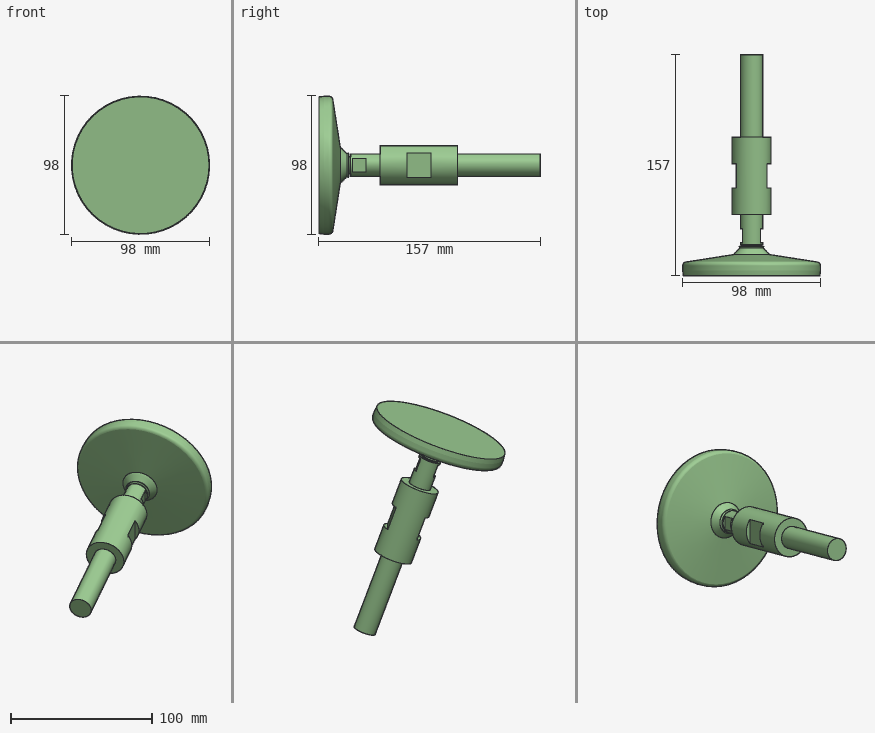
import cadquery as cq

OVERALL_LENGTH = 157.0

FOOT_RADIUS = 98.0 / 2
SOLE_RADIUS = 48.5
RIM_TAPER_TOP = 3.8
RIM_TOP = 7.0
SHOULDER_RADIUS = 47.0
SHOULDER_Y = 9.9
RIM_BULGE = 0.4
HUB_RADIUS = 12.7
HUB_Y = 15.2
COLLAR_BASE_RADIUS = 11.6
COLLAR_BASE_Y = 16.5
COLLAR_TOP_RADIUS = 8.2
COLLAR_TOP_Y = 20.0
LIP_RADIUS = 8.8
LIP_Y = 20.9
FOOT_TOP = 21.5
FOOT_TOP_RADIUS = 7.4

SPINDLE_DIAMETER = 16.0
NECK_RADIUS = 6.1
NECK_TOP = 22.5
SPINDLE_FLAT_START = 23.9
SPINDLE_FLAT_LENGTH = 9.4
SPINDLE_ACROSS_FLATS = 13.0

SLEEVE_DIAMETER = 28.0
SLEEVE_START = 43.5
SLEEVE_LENGTH = 55.0
SLEEVE_FLAT_LENGTH = 17.1
SLEEVE_ACROSS_FLATS = 22.0


def cylinder(diameter, start, length):
    """Solid cylinder along +Y, beginning at y = start."""
    return (
        cq.Workplane("XZ", origin=(0, start, 0))
        .circle(diameter / 2)
        .extrude(-length)
    )


def cut_wrench_flats(body, diameter, across_flats, start, length):
    """Cut two opposite flats, facing -X and +X, into a round body."""
    depth = (diameter - across_flats) / 2
    for side in (-1, 1):
        center_x = side * (across_flats + depth) / 2
        cutter = cq.Workplane("XY").box(depth, length, diameter)
        body = body.cut(cutter.translate((center_x, start + length / 2, 0)))
    return body


def make_foot():
    """Round plate with a rounded rim, conical top and lipped collar."""
    rim_middle = (
        (FOOT_RADIUS + SHOULDER_RADIUS) / 2 + RIM_BULGE,
        (RIM_TOP + SHOULDER_Y) / 2 + RIM_BULGE,
    )
    return (
        cq.Workplane("XY")
        .lineTo(SOLE_RADIUS, 0)
        .lineTo(FOOT_RADIUS, RIM_TAPER_TOP)
        .lineTo(FOOT_RADIUS, RIM_TOP)
        .threePointArc(rim_middle, (SHOULDER_RADIUS, SHOULDER_Y))
        .lineTo(HUB_RADIUS, HUB_Y)
        .lineTo(COLLAR_BASE_RADIUS, COLLAR_BASE_Y)
        .lineTo(COLLAR_TOP_RADIUS, COLLAR_TOP_Y)
        .lineTo(LIP_RADIUS, LIP_Y)
        .lineTo(FOOT_TOP_RADIUS, FOOT_TOP)
        .lineTo(0, FOOT_TOP)
        .close()
        .revolve(360, (0, 0, 0), (0, 1, 0))
    )


def make_spindle():
    """Long rod with a narrow neck standing on the foot and two wrench flats."""
    neck = cylinder(2 * NECK_RADIUS, FOOT_TOP, NECK_TOP - FOOT_TOP)
    rod = cylinder(SPINDLE_DIAMETER, NECK_TOP, OVERALL_LENGTH - NECK_TOP)
    return cut_wrench_flats(
        rod.union(neck), SPINDLE_DIAMETER, SPINDLE_ACROSS_FLATS, SPINDLE_FLAT_START, SPINDLE_FLAT_LENGTH
    )


def make_sleeve():
    """Sleeve around the spindle, with two wrench flats at mid-length."""
    sleeve = cylinder(SLEEVE_DIAMETER, SLEEVE_START, SLEEVE_LENGTH)
    sleeve = sleeve.cut(cylinder(SPINDLE_DIAMETER, SLEEVE_START, SLEEVE_LENGTH))
    flat_start = SLEEVE_START + (SLEEVE_LENGTH - SLEEVE_FLAT_LENGTH) / 2
    return cut_wrench_flats(
        sleeve, SLEEVE_DIAMETER, SLEEVE_ACROSS_FLATS, flat_start, SLEEVE_FLAT_LENGTH
    )


foot = make_foot()
spindle = make_spindle()
sleeve = make_sleeve()

result = cq.Compound.makeCompound([foot.val(), spindle.val(), sleeve.val()])